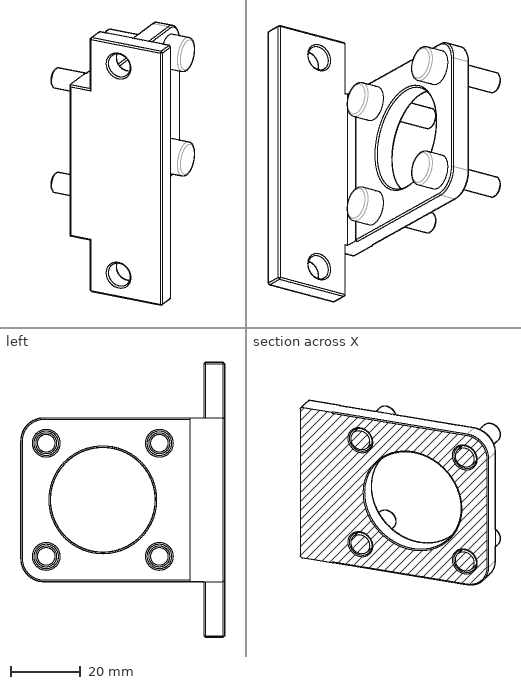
import cadquery as cq

length = 79.0
thickness = 6.0
edge = 0.5
foot_end_x = 29.9
ear_start_x = 6.5

heel_height = 10.0

wall_offset = 0.2
wall_width = 47.1
wall_top_y = 58.5
corner_radius = 6.6
bore_diameter = 30.0
bore_y = wall_top_y - wall_width / 2

hole_diameter = 7.0
foot_hole_pitch = 65.0
foot_hole_x = 15.9

screw_pitch = 32.5
screw_diameter = 6.0
screw_length = 20.1
head_diameter = 10.0
head_height = 6.0
head_fillet = 0.6

wall_outer_x = -wall_offset
wall_inner_x = wall_outer_x + thickness


def box(x_range, y_range, z_width):
    """Box between two X and two Y limits, centred on Z = 0."""
    size_x = x_range[1] - x_range[0]
    size_y = y_range[1] - y_range[0]
    block = cq.Workplane("XY").box(size_x, size_y, z_width, centered=(False, False, True))
    return block.translate((x_range[0], y_range[0], 0))


def hole_cutter(diameter):
    """Through hole along +Z from the origin, countersunk at both plate faces."""
    mouth_radius = diameter / 2 + edge
    bore = cq.Workplane("XY").circle(diameter / 2).extrude(thickness)
    near_sink = cq.Solid.makeCone(mouth_radius, diameter / 2, edge)
    far_sink = near_sink.mirror("XY").translate(cq.Vector(0, 0, thickness))
    return bore.union(cq.Workplane(near_sink)).union(cq.Workplane(far_sink))


def along_x(shape):
    """Turn a shape built along +Z so that it runs along +X."""
    return shape.rotate((0, 0, 0), (0, 1, 0), 90)


def along_y(shape):
    """Turn a shape built along +Z so that it runs along +Y."""
    return shape.rotate((0, 0, 0), (1, 0, 0), -90)


def make_foot():
    plate = box((ear_start_x, foot_end_x), (0, thickness), length).edges().chamfer(edge)
    cutter = along_y(hole_cutter(hole_diameter))
    for side in (-1, 1):
        plate = plate.cut(cutter.translate((foot_hole_x, 0, side * foot_hole_pitch / 2)))
    return plate


def make_heel():
    upright = box((0, thickness), (0, heel_height), wall_width)
    overlap = box((0, ear_start_x + edge), (0, thickness), wall_width)
    heel = upright.union(overlap).clean()
    underside = heel.faces("<Y")
    return underside.edges("<X or <Z or >Z").chamfer(edge)


def make_wall():
    wall = box((wall_outer_x, wall_inner_x), (heel_height, wall_top_y), wall_width)
    wall = wall.edges("|X and >Y").fillet(corner_radius)
    wall = wall.faces("<X or >X").edges("not <Y").chamfer(edge)
    return wall.cut(along_x(hole_cutter(bore_diameter)).translate((wall_outer_x, bore_y, 0)))


def make_screw():
    """Cap screw along +X with the underside of its head at the origin."""
    shank = cq.Workplane("YZ").circle(screw_diameter / 2).extrude(-screw_length)
    shank = shank.faces("<X").chamfer(edge)
    head = cq.Workplane("YZ").circle(head_diameter / 2).extrude(head_height)
    head = head.faces(">X").edges().fillet(head_fillet)
    return shank.union(head)


result = make_foot().union(make_heel()).union(make_wall())

screw = make_screw()
clearance_hole = along_x(hole_cutter(hole_diameter))
for y_side in (-1, 1):
    for z_side in (-1, 1):
        y = bore_y + y_side * screw_pitch / 2
        z = z_side * screw_pitch / 2
        result = result.cut(clearance_hole.translate((wall_outer_x, y, z)))
        result = result.union(screw.translate((wall_inner_x, y, z)))